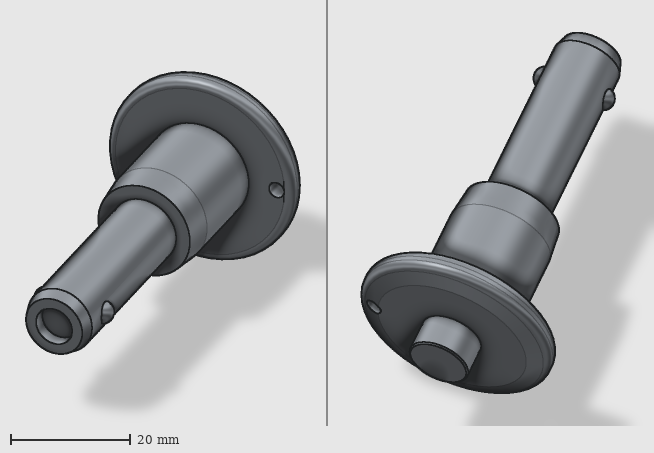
import cadquery as cq
import math

pin_length = 67.3

shank_radius = 12.0 / 2
shank_end = 34.9
tip_radius = 5.25
tip_taper_length = 2.3
recess_diameter = 6.7
recess_depth = 2.4

ball_radius = 2.0
ball_reach = 7.3
ball_position = 7.8

sleeve_radius = 18.3 / 2
sleeve_nose_radius = 8.55
sleeve_taper_length = 5.3

flange_radius = 34.7 / 2
flange_bottom = 56.5
flange_thickness = 4.85
flange_top = flange_bottom + flange_thickness
rim_round = 1.6
rim_band_width = 0.8
cone_angle = math.radians(18)
lanyard_hole_diameter = 2.8
lanyard_hole_offset = 14.35

button_radius = 10.7 / 2
button_chamfer = 0.3


def rim_point(center_y, angle):
    """Point on a rim round, with the angle measured from the radial direction."""
    center_x = flange_radius - rim_round
    return (center_x + rim_round * math.cos(angle), center_y + rim_round * math.sin(angle))


def make_body():
    """Revolve the half outline of shank, sleeve, flange and button."""
    lower_center = flange_bottom + rim_round
    upper_center = lower_center + rim_band_width
    tangent_angle = math.pi / 2 - cone_angle
    cone_start = rim_point(upper_center, tangent_angle)
    cone_end_radius = cone_start[0] - (flange_top - cone_start[1]) / math.tan(cone_angle)

    outline = (
        cq.Workplane("XY")
        .moveTo(0, 0)
        .lineTo(tip_radius, 0)
        .lineTo(shank_radius, tip_taper_length)
        .lineTo(shank_radius, shank_end)
        .lineTo(sleeve_nose_radius, shank_end)
        .lineTo(sleeve_radius, shank_end + sleeve_taper_length)
        .lineTo(sleeve_radius, flange_bottom)
        .lineTo(flange_radius - rim_round, flange_bottom)
        .threePointArc(rim_point(lower_center, -math.pi / 4), rim_point(lower_center, 0))
        .lineTo(flange_radius, upper_center)
        .threePointArc(rim_point(upper_center, tangent_angle / 2), cone_start)
        .lineTo(cone_end_radius, flange_top)
        .lineTo(button_radius, flange_top)
        .lineTo(button_radius, pin_length - button_chamfer)
        .lineTo(button_radius - button_chamfer, pin_length)
        .lineTo(0, pin_length)
        .close()
    )
    return outline.revolve(360, (0, 0, 0), (0, 1, 0))


def make_ball(side):
    """Locking ball bulging out of the shank on the given X side."""
    center_x = side * (ball_reach - ball_radius)
    return cq.Workplane("XY").sphere(ball_radius).translate((center_x, ball_position, 0))


def make_bore(diameter, x, start, depth):
    """Cylinder running toward +Y from the given start."""
    return (
        cq.Workplane("XZ", origin=(x, start, 0))
        .circle(diameter / 2)
        .extrude(-depth)
    )


result = make_body()
for side in (-1, 1):
    result = result.union(make_ball(side))

result = result.cut(make_bore(recess_diameter, 0, 0, recess_depth))

result = result.cut(
    make_bore(lanyard_hole_diameter, lanyard_hole_offset, flange_bottom, flange_thickness)
)